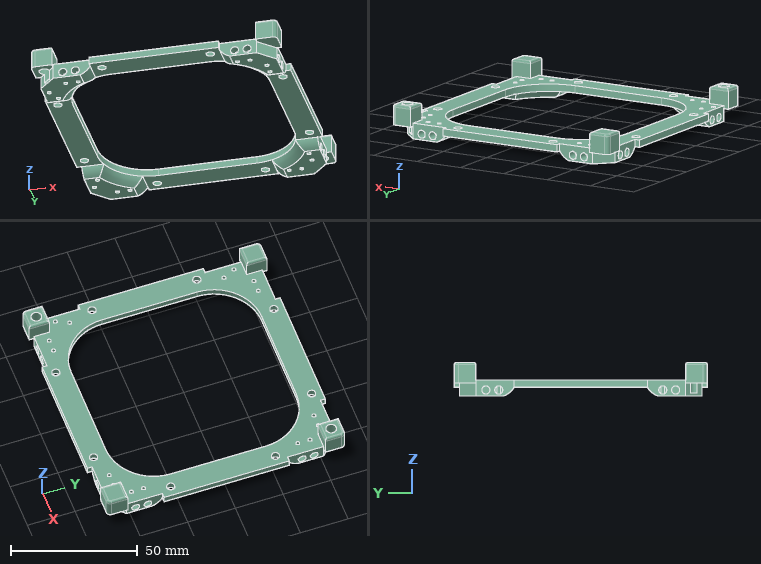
import cadquery as cq

side = 99.8
half = side / 2
total_height = 13.3
plate_top = 6.4
plate_bottom = 3.4
window_size = 79.8
window_radius = 20.0

corner_recess = 2.0
corner_length = 23.7
recessed_half = half - corner_recess
tab_end = half - corner_length

gusset_setback = 4.1
gusset_edge_bulge = 0.4

cap_size = 8.6
cap_inner = half - cap_size
cap_bottom = 5.1
cap_corner_radius = 1.7
cap_top_radius = 0.9
cap_hole_diameter = 4.2
cap_hole_inset = 4.5
cap_hole_floor = 1.2

tab_hole_diameter = 3.2
tab_hole_inset = 4.2
tab_hole_spacing = 43.9

side_hole_diameter = 3.2
side_hole_height = 2.4
outer_hole_inset = 12.5
inner_hole_inset = 17.6
side_hole_end = 7.0
pin_hole_diameter = 1.5
pin_hole_inset = 7.0
shifted_pin_hole_inset = 4.5

signs = (-1, 1)
corners = [(sx, sy) for sx in signs for sy in signs]


def box(x_range, y_range, z_range):
    """Axis-aligned box between pairs of lower and upper limits."""
    (x0, x1), (y0, y1), (z0, z1) = x_range, y_range, z_range
    return cq.Workplane("XY").box(x1 - x0, y1 - y0, z1 - z0, centered=False).translate((x0, y0, z0))


def upright_cylinder(x, y, diameter, bottom, top):
    return cq.Workplane("XY", origin=(x, y, bottom)).circle(diameter / 2).extrude(top - bottom)


def at_corner(body, sx, sy):
    """Mirror a body modelled at the +X +Y corner to the corner with signs sx, sy."""
    if sx < 0:
        body = body.mirror("YZ")
    if sy < 0:
        body = body.mirror("XZ")
    return body


def swap_x_and_y(body):
    return body.rotate((0, 0, 0), (0, 0, 1), 90).mirror("YZ")


def window():
    """Rounded-square opening through the middle of the frame."""
    block = cq.Workplane("XY").rect(window_size, window_size).extrude(plate_top)
    return block.edges("|Z").fillet(window_radius)


def corner_notch():
    """Strip removed from the plate edge between a corner and the +X tab."""
    return box((recessed_half, half), (tab_end, half), (plate_bottom, plate_top))


def gusset_section(start, end):
    """Upright section whose lower edge is rounded back from start."""
    return (
        cq.Workplane("XZ")
        .moveTo(start, plate_bottom)
        .sagittaArc((start + gusset_setback, 0), -gusset_edge_bulge)
        .lineTo(end, 0)
        .lineTo(end, plate_bottom)
        .close()
    )


def gusset():
    """Corner thickening, rounded along both straight ends and along the window arc."""
    rounded_in_x = gusset_section(tab_end, recessed_half).extrude(-recessed_half)
    rounded_in_y = swap_x_and_y(rounded_in_x)
    arc_centre = window_size / 2 - window_radius
    rounded_at_window = (
        gusset_section(window_radius, half)
        .revolve(360, (0, 0, 0), (0, 1, 0))
        .translate((arc_centre, arc_centre, 0))
    )
    return rounded_in_x.intersect(rounded_in_y).intersect(rounded_at_window)


def diagonal_cut():
    """Wedge cutting the corner off below the cap."""
    points = [
        (cap_inner, half),
        (cap_inner, recessed_half),
        (recessed_half, cap_inner),
        (half, cap_inner),
        (half, half),
    ]
    return cq.Workplane("XY").polyline(points).close().extrude(cap_bottom)


def cap():
    block = box((cap_inner, half), (cap_inner, half), (cap_bottom, total_height))
    block = block.edges("|Z and >X and >Y").fillet(cap_corner_radius)
    return block.faces(">Z").edges().fillet(cap_top_radius)


def side_hole(x, pin_inset):
    """Blind hole running in from the +Y side at x, with its upright pin hole."""
    blind_hole = (
        cq.Workplane("XZ", origin=(x, half, side_hole_height))
        .circle(side_hole_diameter / 2)
        .extrude(side_hole_end)
    )
    return blind_hole.union(upright_cylinder(x, half - pin_inset, pin_hole_diameter, 0, plate_top))


frame = box((-half, half), (-half, half), (plate_bottom, plate_top))
for sx, sy in corners:
    frame = frame.cut(at_corner(corner_notch(), sx, sy))
    frame = frame.cut(at_corner(swap_x_and_y(corner_notch()), sx, sy))
    frame = frame.union(at_corner(gusset(), sx, sy))
frame = frame.cut(window())

for sx, sy in corners:
    frame = frame.cut(at_corner(diagonal_cut(), sx, sy))
    frame = frame.union(at_corner(cap(), sx, sy))

for sign in signs:
    centre = sign * (half - cap_hole_inset)
    frame = frame.cut(upright_cylinder(centre, centre, cap_hole_diameter, cap_hole_floor, total_height))

for sign_across, sign_along in corners:
    across = sign_across * (half - tab_hole_inset)
    along = sign_along * tab_hole_spacing / 2
    for x, y in ((across, along), (along, across)):
        frame = frame.cut(upright_cylinder(x, y, tab_hole_diameter, plate_bottom, plate_top))

outer_pin_insets = (pin_hole_inset, shifted_pin_hole_inset, pin_hole_inset, pin_hole_inset)
for turn, outer_pin_inset in enumerate(outer_pin_insets):
    for hole_inset, pin_inset in ((outer_hole_inset, outer_pin_inset), (inner_hole_inset, pin_hole_inset)):
        for sign in signs:
            hole = side_hole(sign * (half - hole_inset), pin_inset)
            frame = frame.cut(hole.rotate((0, 0, 0), (0, 0, 1), 90 * turn))

result = frame